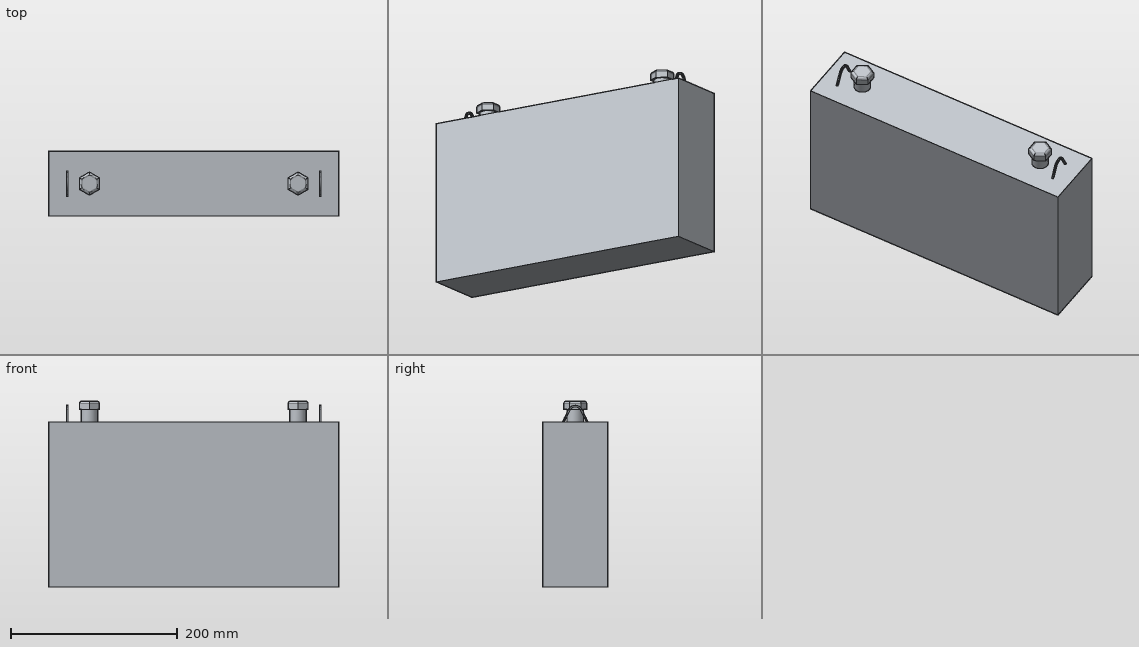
import cadquery as cq
import math

case_length = 348.0
case_width = 78.0
case_height = 198.0

bolt_offset = 125.0
post_diameter = 20.0
post_height = 15.0
head_across_flats = 24.0
head_height = 10.0
head_top_radius = 3.0
head_across_corners = head_across_flats / math.cos(math.pi / 6)

loop_offset = 151.5
wire_width = 2.0
loop_height = 20.0
leg_lean = math.radians(26)
crown_radius = 9.0


def make_case():
    return cq.Workplane("XY").box(case_length, case_width, case_height, centered=(True, True, False))


def make_bolt(x):
    post = cq.Workplane("XY", origin=(x, 0, case_height)).circle(post_diameter / 2).extrude(post_height)
    head = (
        cq.Workplane("XY", origin=(x, 0, case_height + post_height))
        .transformed(rotate=(0, 0, 90))
        .polygon(6, head_across_corners)
        .extrude(head_height)
        .faces(">Z")
        .edges()
        .fillet(head_top_radius)
    )
    return post.union(head)


def arch(radius, crown_center):
    """Closed arch profile whose legs are tangent to the crown arc and end at the case top."""
    tangent_y = radius * math.cos(leg_lean)
    tangent_z = crown_center + radius * math.sin(leg_lean)
    foot_y = tangent_y + tangent_z * math.tan(leg_lean)
    return (
        cq.Workplane("YZ", origin=(0, 0, case_height))
        .moveTo(-foot_y, 0)
        .lineTo(-tangent_y, tangent_z)
        .threePointArc((0, crown_center + radius), (tangent_y, tangent_z))
        .lineTo(foot_y, 0)
        .close()
        .extrude(wire_width / 2, both=True)
    )


def make_loop(x):
    crown_center = loop_height - crown_radius
    outer = arch(crown_radius, crown_center)
    inner = arch(crown_radius - wire_width, crown_center)
    return outer.cut(inner).translate((x, 0, 0))


result = make_case()
for side in (-1, 1):
    result = result.union(make_bolt(side * bolt_offset))
    result = result.union(make_loop(side * loop_offset))